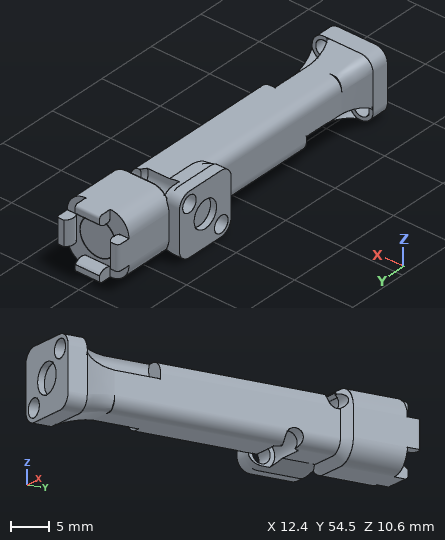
import cadquery as cq

TOTAL_LENGTH = 54.5
TOTAL_WIDTH = 12.4
JOINT_Y = 43.95

ARM_WIDTH = 8.15
FLANGE_WIDTH = 10.45
FLANGE_CORNER = 2.05
END_FLANGE_THICKNESS = 2.95
FLARE_LENGTH = 4.95
FLARE_START_CORNER = 1.3
FLARE_SECTIONS = 5
FLARE_EXPONENT = 1.5

SOCKET_WIDTH = 10.6
SOCKET_CORNER = 3.2
BORE_DIAMETER = 6.2
SPIGOT_DIAMETER = 6.1
PRONG_LENGTH = 2.2
PRONG_TIP_THICKNESS = 1.3
PRONG_BULGE_THICKNESS = 1.9
PRONG_ROOT_THICKNESS = 1.65
PRONG_BULGE_DEPTH = 1.3
PRONG_OUTER_ROUND = 0.55

COLLAR_LENGTH = (SOCKET_WIDTH - ARM_WIDTH) / 2
ARM_CORNER = SOCKET_CORNER - COLLAR_LENGTH
FLAT_WIDTH = ARM_WIDTH - 2 * ARM_CORNER
SOCKET_END_Y = TOTAL_LENGTH - PRONG_LENGTH

SIDE_FACE_X = SOCKET_WIDTH / 2 - TOTAL_WIDTH
SIDE_FLANGE_THICKNESS = 1.8
SIDE_FLANGE_Y = 39.0
SIDE_BLEND_CORNER_Y = 2.5
SIDE_BLEND_CORNER_Z = 0.45

SCREW_DIAMETER = 2.7
SCREW_OFFSET = 3.2
HEAD_RADIUS = 2.05
HEAD_CONE_LENGTH = 0.6
HEAD_RELIEF_START = 2.85
HEAD_RELIEF_LENGTH = 6.0
GROOVE_END_Y = 15.0
RECESS_DIAMETER = 4.5
RECESS_DEPTH = 1.05


def plane_y(y):
    """Plane across the arm at y, with local x along X and local y along Z."""
    return cq.Plane(origin=(0, y, 0), xDir=(1, 0, 0), normal=(0, -1, 0))


def plane_x(x):
    """Plane across the side flange at x, with local x along -Y and local y along Z."""
    return cq.Plane(origin=(x, SIDE_FLANGE_Y, 0), xDir=(0, -1, 0), normal=(-1, 0, 0))


def rounded_rectangle(width, height, corner):
    return cq.Sketch().rect(width, height).vertices().fillet(corner)


def bar_along_y(y_start, y_end, width, corner):
    outline = rounded_rectangle(width, width, corner)
    return cq.Workplane(plane_y(y_end)).placeSketch(outline).extrude(y_end - y_start)


def cylinder_along_y(y_start, y_end, radius, x=0.0, z=0.0):
    return cq.Workplane(plane_y(y_end)).center(x, z).circle(radius).extrude(y_end - y_start)


def elliptic_outline(plane, distance, size, corner):
    """Closed rectangle outline with elliptic corners, at a distance along the plane normal."""
    half_width, half_height = size[0] / 2, size[1] / 2
    corner_x, corner_y = corner
    flat_x = half_width - corner_x
    flat_y = half_height - corner_y
    return (
        cq.Workplane(plane).workplane(offset=distance)
        .moveTo(half_width, -flat_y)
        .lineTo(half_width, flat_y)
        .ellipseArc(corner_x, corner_y, 0, 90)
        .lineTo(-flat_x, half_height)
        .ellipseArc(corner_x, corner_y, 90, 180)
        .lineTo(-half_width, -flat_y)
        .ellipseArc(corner_x, corner_y, 180, 270)
        .lineTo(flat_x, -half_height)
        .ellipseArc(corner_x, corner_y, 270, 360)
        .close()
        .val()
    )


def loft_sections(plane, sections, ruled):
    """Loft through (distance, size, corner) sections placed along the plane normal."""
    outlines = [elliptic_outline(plane, *section) for section in sections]
    return cq.Workplane(cq.Solid.makeLoft(outlines, ruled))


def end_flare():
    """Concave blend from the arm to the end flange."""
    rise = (FLANGE_WIDTH - ARM_WIDTH) / 2
    sections = []
    for i in range(FLARE_SECTIONS):
        share = i / (FLARE_SECTIONS - 1)
        width = ARM_WIDTH + 2 * rise * share**FLARE_EXPONENT
        corner_x = FLARE_START_CORNER + share * (FLANGE_CORNER - FLARE_START_CORNER)
        corner_z = ARM_CORNER + share * (FLANGE_CORNER - ARM_CORNER)
        sections.append((FLARE_LENGTH * share, (width, width), (corner_x, corner_z)))
    return loft_sections(plane_y(END_FLANGE_THICKNESS + FLARE_LENGTH), sections, False)


def collar():
    sections = [
        (0, (SOCKET_WIDTH, SOCKET_WIDTH), (SOCKET_CORNER, SOCKET_CORNER)),
        (COLLAR_LENGTH, (ARM_WIDTH, ARM_WIDTH), (ARM_CORNER, ARM_CORNER)),
    ]
    return loft_sections(plane_y(JOINT_Y), sections, True)


def side_flange():
    """Square flange facing -X, with a blend that runs into the arm."""
    inner_x = SIDE_FACE_X + SIDE_FLANGE_THICKNESS
    outline = rounded_rectangle(FLANGE_WIDTH, FLANGE_WIDTH, FLANGE_CORNER)
    plate = cq.Workplane(plane_x(inner_x)).placeSketch(outline).extrude(SIDE_FLANGE_THICKNESS)
    blend_end_x = -FLAT_WIDTH / 2
    sections = [
        (0, (FLANGE_WIDTH, ARM_WIDTH), (SIDE_BLEND_CORNER_Y, SIDE_BLEND_CORNER_Z)),
        (blend_end_x - inner_x, (FLANGE_WIDTH, FLANGE_WIDTH), (FLANGE_CORNER, FLANGE_CORNER)),
    ]
    return plate.union(loft_sections(plane_x(blend_end_x), sections, True))


def side_screw_cutter(side):
    """Screw hole through the side flange and arm, with its head relief; side is +1 or -1."""
    y = SIDE_FLANGE_Y + side * SCREW_OFFSET
    z = side * SCREW_OFFSET
    screw_radius = SCREW_DIAMETER / 2
    relief_x = SIDE_FACE_X + HEAD_RELIEF_START
    cone_x = relief_x + HEAD_RELIEF_LENGTH
    half_section = [
        (SIDE_FACE_X, 0),
        (SIDE_FACE_X, screw_radius),
        (relief_x, screw_radius),
        (relief_x, HEAD_RADIUS),
        (cone_x, HEAD_RADIUS),
        (cone_x + HEAD_CONE_LENGTH, screw_radius),
        (SOCKET_WIDTH / 2, screw_radius),
        (SOCKET_WIDTH / 2, 0),
    ]
    cutter = cq.Workplane("XY").polyline(half_section).close().revolve(360, (0, 0), (1, 0))
    return cutter.translate((0, y, z))


def end_screw_cutter(side):
    """Screw hole through the end flange, with the head groove behind it; side is +1 or -1."""
    offset = side * SCREW_OFFSET
    hole = cylinder_along_y(0, GROOVE_END_Y, SCREW_DIAMETER / 2, offset, offset)
    groove = cylinder_along_y(END_FLANGE_THICKNESS, GROOVE_END_Y, HEAD_RADIUS, offset, offset)
    return hole.union(groove)


def make_arm():
    arm = bar_along_y(END_FLANGE_THICKNESS + FLARE_LENGTH, JOINT_Y, ARM_WIDTH, ARM_CORNER)
    arm = arm.union(bar_along_y(0, END_FLANGE_THICKNESS, FLANGE_WIDTH, FLANGE_CORNER))
    arm = arm.union(end_flare()).union(collar())
    arm = arm.union(side_flange().cut(socket_blank()))
    arm = arm.union(cylinder_along_y(JOINT_Y, SOCKET_END_Y, SPIGOT_DIAMETER / 2))
    for side in (1, -1):
        arm = arm.cut(side_screw_cutter(side)).cut(end_screw_cutter(side))
    arm = arm.cut(cylinder_along_y(0, RECESS_DEPTH, RECESS_DIAMETER / 2))
    side_face = cq.Workplane(plane_x(SIDE_FACE_X))
    return arm.cut(side_face.circle(RECESS_DIAMETER / 2).extrude(-RECESS_DEPTH))


def socket_blank():
    return bar_along_y(JOINT_Y, SOCKET_END_Y, SOCKET_WIDTH, SOCKET_CORNER)


def prong():
    """Snap prong on the +X side, with a bulge on its inner face and a rounded outer tip edge."""
    outer_x = SOCKET_WIDTH / 2
    profile = (
        cq.Workplane("XY")
        .moveTo(outer_x, SOCKET_END_Y)
        .lineTo(outer_x, TOTAL_LENGTH - PRONG_OUTER_ROUND)
        .radiusArc((outer_x - PRONG_OUTER_ROUND, TOTAL_LENGTH), -PRONG_OUTER_ROUND)
        .lineTo(outer_x - PRONG_TIP_THICKNESS, TOTAL_LENGTH)
        .threePointArc(
            (outer_x - PRONG_BULGE_THICKNESS, TOTAL_LENGTH - PRONG_BULGE_DEPTH),
            (outer_x - PRONG_ROOT_THICKNESS, SOCKET_END_Y),
        )
        .close()
    )
    return profile.extrude(FLAT_WIDTH / 2, both=True)


def make_socket():
    socket = socket_blank()
    for i in range(4):
        socket = socket.union(prong().rotate((0, 0, 0), (0, 1, 0), 90 * i))
    socket = socket.cut(cylinder_along_y(JOINT_Y, SOCKET_END_Y, BORE_DIAMETER / 2))
    for side in (1, -1):
        socket = socket.cut(side_screw_cutter(side))
    return socket


arm = make_arm()
socket = make_socket()
result = cq.Compound.makeCompound([arm.val(), socket.val()])